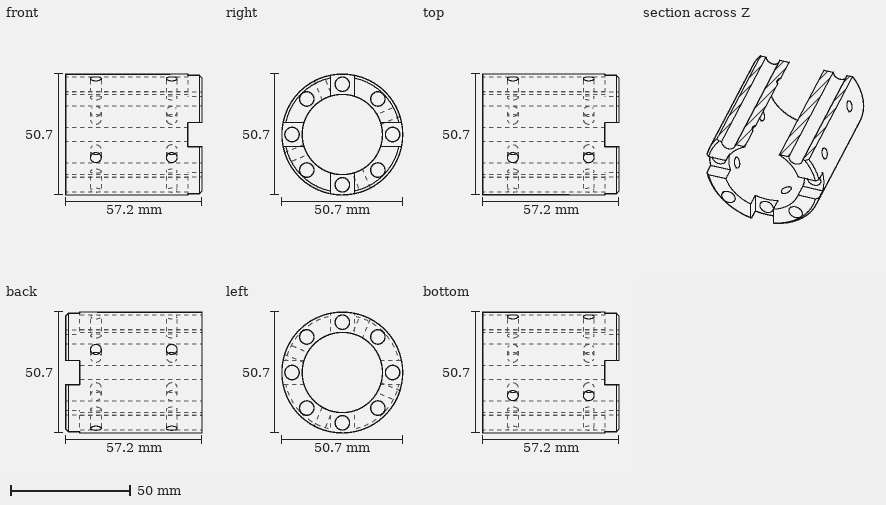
import cadquery as cq

length = 57.15
outer_diameter = 50.7
bore_diameter = 33.55
end_chamfer = 1.15

axial_hole_diameter = 5.95
axial_hole_count = 8
axial_hole_circle = (outer_diameter + bore_diameter) / 2

radial_hole_diameter = 4.5
radial_hole_count = 4
radial_hole_start_angle = 22.5
radial_ring_positions = (12.7, 44.45)

slot_width = 10.05
slot_depth = 5.9


def make_sleeve():
    """Tube with a chamfered outer rim on the +X end."""
    body = cq.Workplane("YZ").circle(outer_diameter / 2).extrude(length)
    body = body.faces(">X").chamfer(end_chamfer)
    bore = cq.Workplane("YZ").circle(bore_diameter / 2).extrude(length)
    return body.cut(bore)


def make_axial_holes():
    """Ring of holes running the full length."""
    return (
        cq.Workplane("YZ")
        .polarArray(axial_hole_circle / 2, 0, 360, axial_hole_count)
        .circle(axial_hole_diameter / 2)
        .extrude(length)
    )


def make_radial_hole(position, angle):
    """Cylinder from the axis outward, turned about X from +Y towards +Z."""
    hole = cq.Solid.makeCylinder(
        radial_hole_diameter / 2, outer_diameter, cq.Vector(position, 0, 0), cq.Vector(0, 1, 0)
    )
    return hole.rotate(cq.Vector(0, 0, 0), cq.Vector(1, 0, 0), angle)


def make_end_slots():
    """Two slots crossing at right angles, leaving four teeth."""
    profile = cq.Workplane("YZ", origin=(length - slot_depth, 0, 0))
    slot_along_y = profile.rect(outer_diameter, slot_width).extrude(slot_depth)
    slot_along_z = profile.rect(slot_width, outer_diameter).extrude(slot_depth)
    return slot_along_y.union(slot_along_z)


result = make_sleeve().cut(make_axial_holes()).cut(make_end_slots())
for ring_position in radial_ring_positions:
    for index in range(radial_hole_count):
        hole_angle = radial_hole_start_angle + index * 360 / radial_hole_count
        result = result.cut(cq.Workplane(make_radial_hole(ring_position, hole_angle)))